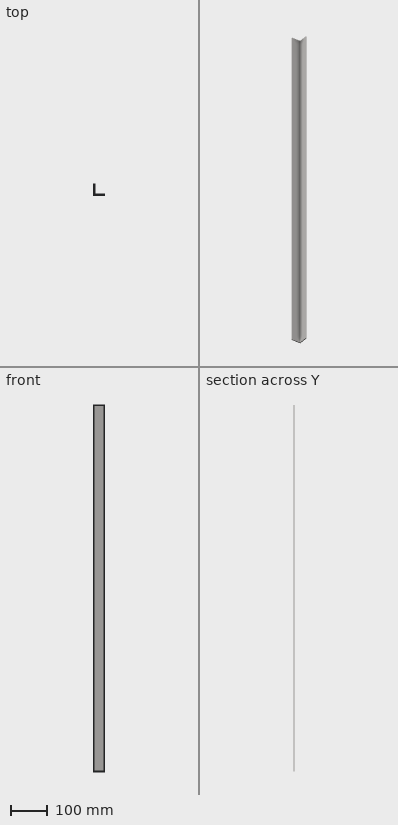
import cadquery as cq

leg_width = 30.0
thickness = 3.0
length = 1000.0

profile = [
    (0, 0),
    (leg_width, 0),
    (leg_width, thickness),
    (thickness, thickness),
    (thickness, leg_width),
    (0, leg_width),
]

result = cq.Workplane("XY").polyline(profile).close().extrude(length)